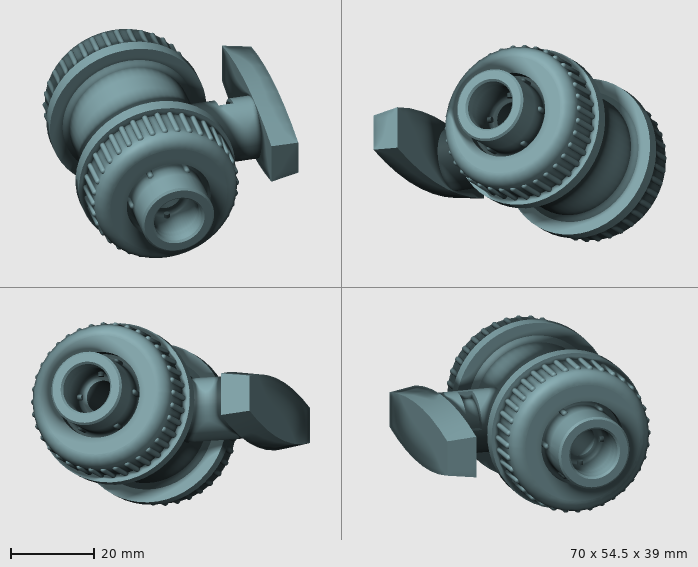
import cadquery as cq


half_length = 35.0
nut_face_x = 26.0
flange_outer_x = 15.1
flange_inner_x = 11.8
collar_x = 10.5

bore_dia = 8.0
body_dia = 30.0
flange_dia = 39.0
nut_dia = 35.4
nut_face_dia = 29.2
nut_opening_dia = 21.0
nut_opening_depth = 3.0
collar_rise = flange_inner_x - collar_x

pipe_dia = 18.0
pipe_root_fillet = 0.85
rim_chamfer = 0.5
socket_mouth_dia = 12.0
socket_dia = 11.75
socket_lead_in = 2.4
socket_depth = 12.0
socket_fillet = 1.05
stop_count = 4

rib_dia = 1.5
nut_rib_count = 36
nut_rib_start_x = 22.4
pipe_rib_count = 6
pipe_rib_start_x = 26.05

stem_dia = 15.3
overall_width = 54.5
handle_far_y = overall_width - flange_dia / 2
handle_thickness = 7.0
handle_near_y = handle_far_y - handle_thickness
handle_min_x = -28.9
handle_max_x = 16.9
handle_end_height = 10.2
handle_mid_height = 16.6
handle_draft = 8.5
stem_notch_near_y = 19.4
stem_notch_far_y = 23.1
stem_notch_inner_dia = 11.55


def x_cylinder(dia, x_from, x_to):
    """Round bar along the X axis."""
    return cq.Workplane("YZ").workplane(offset=x_from).circle(dia / 2).extrude(x_to - x_from)


def around_x(shape, count):
    """Union of equally spaced copies of a shape turned about the X axis."""
    copies = shape
    for index in range(1, count):
        copies = copies.union(shape.rotate((0, 0, 0), (1, 0, 0), index * 360 / count))
    return copies


def rounded_rib(axis_radius, x_from, x_to):
    """Rib at +Y that runs along X and ends in a dome at its -X end."""
    rod = x_cylinder(rib_dia, x_from, x_to)
    dome = cq.Workplane("XY").sphere(rib_dia / 2).translate((x_from, 0, 0))
    return rod.union(dome).translate((0, axis_radius, 0))


def make_nut():
    """Flanged union nut on the -X side, with a collar that slopes down to the body."""
    corner = (nut_dia - nut_face_dia) / 2
    barrel = x_cylinder(nut_dia, -nut_face_x, -flange_outer_x).faces("<X").edges().fillet(corner)
    flange = x_cylinder(flange_dia, -flange_outer_x, -flange_inner_x)
    collar = cq.Workplane(
        cq.Solid.makeCone(
            body_dia / 2 + collar_rise,
            body_dia / 2,
            collar_rise,
            pnt=cq.Vector(-flange_inner_x, 0, 0),
            dir=cq.Vector(1, 0, 0),
        )
    )
    ribs = around_x(rounded_rib(nut_dia / 2, -nut_rib_start_x, -flange_outer_x), nut_rib_count)
    opening = x_cylinder(nut_opening_dia, -nut_face_x, -nut_face_x + nut_opening_depth)
    return barrel.union(flange).union(collar).cut(opening).union(ribs)


def make_pipe_end():
    """Pipe stub on the -X side, flared where it meets the floor of the nut opening."""
    root_x = -nut_face_x + nut_opening_depth
    radius = pipe_dia / 2
    stub = (
        cq.Workplane("XY")
        .moveTo(-half_length, 0)
        .lineTo(-half_length, radius - rim_chamfer)
        .lineTo(-half_length + rim_chamfer, radius)
        .lineTo(root_x - pipe_root_fillet, radius)
        .radiusArc((root_x, radius + pipe_root_fillet), -pipe_root_fillet)
        .lineTo(-flange_outer_x, radius + pipe_root_fillet)
        .lineTo(-flange_outer_x, 0)
        .close()
        .revolve(360, (0, 0, 0), (1, 0, 0))
    )
    ribs = around_x(rounded_rib(radius, -pipe_rib_start_x, root_x), pipe_rib_count)
    return stub.union(ribs)


def make_socket():
    """Socket cavity: chamfered mouth, slight lead-in cone, and a floor with a rounded corner."""
    mouth_radius = socket_mouth_dia / 2
    radius = socket_dia / 2
    floor_x = -half_length + socket_depth
    return (
        cq.Workplane("XY")
        .moveTo(-half_length, 0)
        .lineTo(-half_length, mouth_radius + rim_chamfer)
        .lineTo(-half_length + rim_chamfer, mouth_radius)
        .lineTo(-half_length + socket_lead_in, radius)
        .lineTo(floor_x - socket_fillet, radius)
        .radiusArc((floor_x, radius - socket_fillet), socket_fillet)
        .lineTo(floor_x, 0)
        .close()
        .revolve(360, (0, 0, 0), (1, 0, 0))
    )


def make_stops():
    """Short radial pins in the corner of the socket floor."""
    tip_radius = socket_dia / 2 - socket_fillet
    stop_length = 2 * socket_fillet
    pin = (
        cq.Workplane("XZ", origin=(-half_length + socket_depth - socket_fillet, tip_radius, 0))
        .circle(rib_dia / 2)
        .extrude(-stop_length)
    )
    return around_x(pin, stop_count)


def make_stem():
    """Round stem along +Y with a shallow notch around its -X, +Z quarter."""
    stem = cq.Workplane("XZ").circle(stem_dia / 2).extrude(-handle_near_y)
    notch_length = stem_notch_far_y - stem_notch_near_y
    quarter = (
        cq.Workplane("XY")
        .box(stem_dia, notch_length, stem_dia, centered=(False, False, False))
        .translate((-stem_dia, stem_notch_near_y, 0))
    )
    core = cq.Workplane("XZ").circle(stem_notch_inner_dia / 2).extrude(-handle_near_y)
    return stem.cut(quarter.cut(core))


def make_handle():
    """Handle bar bowed on both long sides, drafted towards its outer face."""
    mid_x = (handle_min_x + handle_max_x) / 2
    end_z = handle_end_height / 2
    mid_z = handle_mid_height / 2
    return (
        cq.Workplane("XZ", origin=(0, handle_near_y, 0))
        .moveTo(handle_min_x, -end_z)
        .threePointArc((mid_x, -mid_z), (handle_max_x, -end_z))
        .lineTo(handle_max_x, end_z)
        .threePointArc((mid_x, mid_z), (handle_min_x, end_z))
        .close()
        .extrude(-handle_thickness, taper=handle_draft)
    )


end_assembly = make_nut().union(make_pipe_end()).cut(make_socket()).union(make_stops())

body = x_cylinder(body_dia, -flange_outer_x, flange_outer_x)
bore = x_cylinder(bore_dia, -half_length, half_length)

result = (
    body.union(make_stem())
    .union(make_handle())
    .union(end_assembly)
    .union(end_assembly.mirror("YZ"))
    .cut(bore)
)